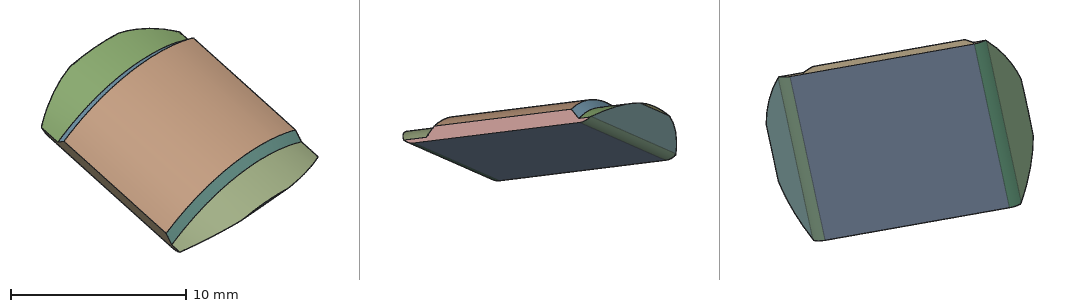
import cadquery as cq

length = 14.85
width = 10.5
height = 2.33
crown_radius = 10.0
step_depth = 0.5
end_radius = crown_radius - step_depth
axis_z = height - crown_radius
tip_height = 1.65
bottom_edge_radius = 1.0
shoulder_crest_x = 4.44
shoulder_skew = 4.2


def side_blank():
    """Side outline with 45 degree undercut ends and rounded bottom edges."""
    half_length = length / 2
    half_bottom = half_length - tip_height
    return (
        cq.Workplane("XZ")
        .moveTo(-half_bottom, 0)
        .lineTo(half_bottom, 0)
        .lineTo(half_length, tip_height)
        .lineTo(half_length, height)
        .lineTo(-half_length, height)
        .lineTo(-half_length, tip_height)
        .close()
        .extrude(width / 2, both=True)
        .edges("<Z and |Y")
        .fillet(bottom_edge_radius)
    )


def cylinder_along_x(radius):
    """Cylinder whose axis lies below the part, parallel to X."""
    return (
        cq.Workplane("YZ")
        .center(0, axis_z)
        .circle(radius)
        .extrude(length / 2, both=True)
    )


def shoulder_cone(side):
    """45 degree cone, skewed about its crest, that keeps the middle on one side."""
    reach = length
    crest_x = side * shoulder_crest_x
    return (
        cq.Workplane("XZ")
        .moveTo(crest_x - side * reach, axis_z)
        .lineTo(crest_x - side * reach, axis_z + crown_radius + reach)
        .lineTo(crest_x + side * crown_radius, axis_z)
        .close()
        .revolve(360, (0, axis_z, 0), (1, axis_z, 0))
        .rotate((crest_x, 0, 0), (crest_x, 0, 1), shoulder_skew)
    )


blank = side_blank()
base = blank.intersect(cylinder_along_x(end_radius))
raised_middle = blank.intersect(cylinder_along_x(crown_radius))
for side in (-1, 1):
    raised_middle = raised_middle.intersect(shoulder_cone(side))

result = base.union(raised_middle)